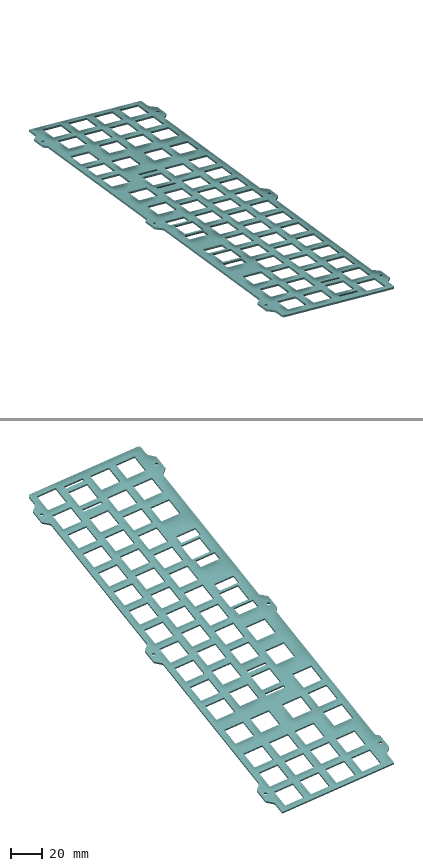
import cadquery as cq


length = 316.8
overall_width = 91.5
body_width = 83.0
thickness = 1.5
corner_radius = 1.5
lower_strip_drop = 2.0

tab_spacing = 139.5
tab_tip_width = 11.0
tab_blend_radius = 4.5
hole_diameter = 2.25
hole_edge_distance = 3.2

key_span = 295.2
key_span_units = 15.5
key_unit = key_span / key_span_units
first_key_x = -key_span / 2
first_row_y = 30.0
key_size = 14.0

slim_slot_offset = 11.5
slim_slot_width = 2.2
wide_slot_offset = 12.0
wide_slot_width = 6.5
wide_slot_height = 14.3
wide_slot_drop = 1.5

half_body = body_width / 2
half_overall = overall_width / 2
half_tab_tip = tab_tip_width / 2
half_tab_root = half_tab_tip + half_overall - half_body
tab_centres = [-tab_spacing, 0.0, tab_spacing]


def key_run(first, count):
    """Columns of keys standing one key unit apart."""
    return [first + step for step in range(count)]


key_rows = {
    0: key_run(0, 3) + [3.25] + key_run(4.5, 12),
    1: key_run(0, 3) + [3.25, 4.625] + key_run(5.75, 9) + [15.125],
    2: key_run(0, 3) + [4.875] + key_run(6.25, 9) + [15.375],
    2.25: [3.25],
    3: key_run(0, 2) + [5.625, 6.875, 8.625, 11.125, 13.125, 14.25, 15.375],
    3.25: key_run(2.25, 3),
}
slim_stabilizer_keys = [(15.125, 1), (4.875, 2)]
wide_stabilizer_keys = [(8.625, 3), (11.125, 3)]


def key_centre(column, row):
    return first_key_x + column * key_unit, first_row_y - row * key_unit


def slot_pairs(keys, offset, drop=0.0):
    """Centres of the stabilizer openings on both sides of each key."""
    centres = []
    for column, row in keys:
        x, y = key_centre(column, row)
        centres += [(x - offset, y - drop), (x + offset, y - drop)]
    return centres


def rectangular_cutters(centres, width, height):
    return cq.Workplane("XY").pushPoints(centres).rect(width, height).extrude(thickness)


def make_body():
    body = cq.Workplane("XY").rect(length, body_width).extrude(thickness)
    body = body.edges("|Z and >X").fillet(corner_radius)
    strip = (
        cq.Workplane("XY")
        .center(-tab_spacing / 2, -half_body)
        .rect(tab_spacing, 2 * lower_strip_drop)
        .extrude(thickness)
    )
    return body.union(strip)


def make_tab(x, side):
    """Tab with 45 degree shoulders on the back (side 1) or front (side -1) edge."""
    return (
        cq.Workplane("XY")
        .polyline([
            (x - half_tab_root, side * half_body),
            (x - half_tab_tip, side * half_overall),
            (x + half_tab_tip, side * half_overall),
            (x + half_tab_root, side * half_body),
            (x + half_tab_root, 0),
            (x - half_tab_root, 0),
        ])
        .close()
        .extrude(thickness)
    )


def blend_outer_shoulders(plate):
    """Round the inside corners where the outermost shoulders meet the long edges."""
    for x in (-tab_spacing - half_tab_root, tab_spacing + half_tab_root):
        for y in (-half_body, half_body):
            corner = cq.selectors.NearestToPointSelector((x, y, thickness / 2))
            plate = plate.edges("|Z").edges(corner).fillet(tab_blend_radius)
    return plate


plate = make_body()
for tab_x in tab_centres:
    for tab_side in (-1, 1):
        plate = plate.union(make_tab(tab_x, tab_side))
plate = blend_outer_shoulders(plate.clean())

key_centres = [key_centre(column, row) for row, columns in key_rows.items() for column in columns]
plate = plate.cut(rectangular_cutters(key_centres, key_size, key_size))

slim_slots = slot_pairs(slim_stabilizer_keys, slim_slot_offset)
plate = plate.cut(rectangular_cutters(slim_slots, slim_slot_width, key_size))
wide_slots = slot_pairs(wide_stabilizer_keys, wide_slot_offset, wide_slot_drop)
plate = plate.cut(rectangular_cutters(wide_slots, wide_slot_width, wide_slot_height))

hole_y = half_overall - hole_edge_distance
hole_centres = [(x, y) for x in tab_centres for y in (-hole_y, hole_y)]
holes = cq.Workplane("XY").pushPoints(hole_centres).circle(hole_diameter / 2).extrude(thickness)
result = plate.cut(holes)